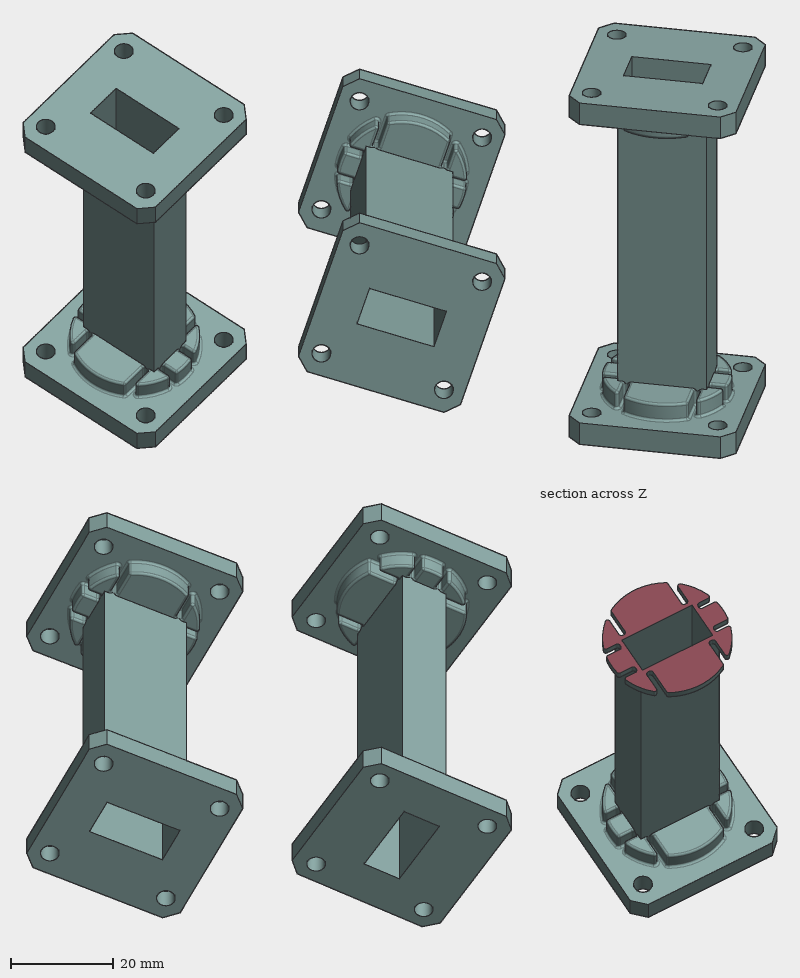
import cadquery as cq

length = 76.2
flange_width = 33.4
flange_thickness = 4.8
flange_chamfer = 2.6

bolt_hole_diameter = 3.65
bolt_spacing_x = 25.2
bolt_spacing_y = 24.2

tube_x = 17.8
tube_y = 9.9
bore_x = 15.85
bore_y = 7.9

collar_diameter = 25.45
collar_height = 3.7
slot_width = 1.3
slot_offset_x = 7.1
slot_offset_y = 3.05
corner_radius = 0.5
edge_radius = 0.495


def slot_cutter(x_size, y_size, x_center, y_center):
    """Block that removes one slot over the full collar height."""
    cutter = cq.Workplane("XY").box(x_size, y_size, collar_height, centered=(True, True, False))
    return cutter.translate((x_center, y_center, flange_thickness))


def make_flange():
    flange = cq.Workplane("XY").box(
        flange_width, flange_width, flange_thickness, centered=(True, True, False)
    )
    return flange.edges("|Z").chamfer(flange_chamfer)


def make_collar():
    """Collar with slots that run from the tube wall out through the rim."""
    collar = (
        cq.Workplane("XY")
        .workplane(offset=flange_thickness)
        .circle(collar_diameter / 2)
        .extrude(collar_height)
    )
    reach = collar_diameter / 2
    for side_x in (-1, 1):
        for side_y in (-1, 1):
            along_y = slot_cutter(
                slot_width, reach, side_x * slot_offset_x, side_y * (tube_y + reach) / 2
            )
            along_x = slot_cutter(
                reach, slot_width, side_x * (tube_x + reach) / 2, side_y * slot_offset_y
            )
            collar = collar.cut(along_y).cut(along_x)
    corners = collar.edges("|Z").filter(lambda edge: abs(edge.Center().y) > slot_width / 2)
    collar = collar.newObject(corners.vals()).fillet(corner_radius)
    return collar.faces(">Z").edges().fillet(edge_radius)


def make_flanged_end():
    """Flange at Z = 0 with its collar and the fillet around the collar's foot."""
    end = make_flange().union(make_collar())
    flange_face = end.faces(">Z[-2]").val()
    foot_outline = flange_face.innerWires()[0]
    return end.newObject(foot_outline.Edges()).fillet(edge_radius)


lower_end = make_flanged_end()
upper_end = lower_end.mirror("XY").translate((0, 0, length))

tube = cq.Workplane("XY").box(tube_x, tube_y, length, centered=(True, True, False))
bore = cq.Workplane("XY").box(bore_x, bore_y, length, centered=(True, True, False))
bolt_holes = (
    cq.Workplane("XY")
    .rect(bolt_spacing_x, bolt_spacing_y, forConstruction=True)
    .vertices()
    .circle(bolt_hole_diameter / 2)
    .extrude(length)
)

result = lower_end.union(upper_end).union(tube).cut(bore).cut(bolt_holes)